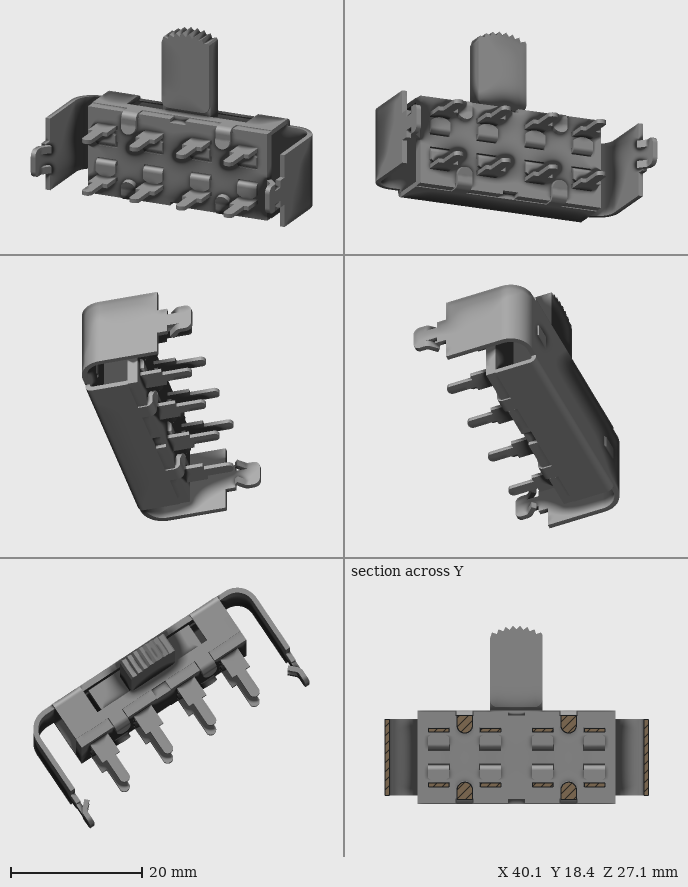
import cadquery as cq
import math


sheet = 0.75
frame_length = 30.1
frame_height = 14.2
frame_depth = 6.65
frame_bend = 1.0
mid_z = frame_height / 2
slot_length = 20.05
slot_front_y = -5.0

ear_span = 40.15
ear_height = 11.6
ear_bend = 3.55
ear_front_y = -12.72
tongue_height = 4.37
tongue_front_y = -18.1
tongue_radius = 1.05

barb_height = 1.12
barb_window_rear_y = -14.25
barb_root_y = -16.35
barb_bend = 1.35
barb_bend_angle = math.radians(45)
barb_arm = 1.45

board_thickness = 1.55
board_inset = 0.12
board_front_y = -(frame_depth + board_thickness)
notch_width = 2.55
notch_depth = 0.72

tab_x = 7.9
tab_width = 2.45
tab_gap_width = 2.7
tab_gap_depth = 0.8
tab_kink_z = 12.3
tab_tip_z = 10.95
tab_kink_bend = 1.0
tab_tilt = math.radians(17)
tab_tip_rounding = 0.499 * tab_width

pin_columns = (3.95, 11.88)
pin_slot_columns = (4.0, 11.8)
pin_z_offset = 4.17
pin_thickness = 0.65
pin_shoulder_width = 3.2
pin_shoulder_y = -11.55
pin_width = 1.6
pin_tip_y = -15.97
pin_tip_diameter = 1.73
pin_slot_width = 3.35
pin_slot_height = 0.75
pin_slot_depth = 0.6
pad_proud = 0.6
pad_sunk = 0.15
pad_near_z = 1.2
pad_far_z = 3.75
pad_side_z = 3.1
pad_gap = 0.25

lever_x = -0.06
slider_length = 18.3
slider_rear_y = -1.32
slider_front_y = -6.25
slider_clearance = 0.1
slider_chamfer = 0.25
lever_width = 8.0
lever_rear_y = -2.2
lever_front_y = -5.35
lever_top = 27.13
lever_left_corner_z = 25.2
lever_right_corner_z = 25.75
panel_relief = 0.5
panel_bottom_z = 14.73
panel_radius = 1.2

tooth_pitch = math.radians(9)
peak_radius = 7.15
valley_radius = 6.6
teeth_per_side = 4

leaf_half_length = 11.25
leaf_height = 3.05
leaf_thickness = 0.3
leaf_end_x = 14.45
leaf_end_height = 2.05
leaf_end_proud = 0.25
leaf_end_ramp = 0.52
leaf_end_bend = 0.7
crest_base = 1.12
crest_top = 0.6


def box(x0, x1, y0, y1, z0, z1):
    """Axis-aligned box between two opposite corners."""
    corner = cq.Vector(min(x0, x1), min(y0, y1), min(z0, z1))
    return cq.Workplane(cq.Solid.makeBox(abs(x1 - x0), abs(y1 - y0), abs(z1 - z0), corner))


def centred_box(x, width, y0, y1, z, height):
    """Box centred on x and z, spanning y0 to y1."""
    return box(x - width / 2, x + width / 2, y0, y1, z - height / 2, z + height / 2)


def mirrored_x(body):
    """The body together with its left-right mirror image."""
    return body.union(body.mirror("YZ"))


def mirrored_z(body):
    """The body together with its mirror image about mid height."""
    return body.union(body.mirror("XY", (0, 0, mid_z)))


def frame_shell():
    """C-shaped channel with a slot in the top wall and two windows in the rear wall."""
    outer = centred_box(0, frame_length, -frame_depth, 0, mid_z, frame_height)
    outer = outer.edges("|X and >Y").fillet(frame_bend)
    inner_height = frame_height - 2 * sheet
    inner = centred_box(0, frame_length, -frame_depth, -sheet, mid_z, inner_height)
    inner = inner.edges("|X and >Y").fillet(frame_bend - sheet)
    slot = box(-slot_length / 2, slot_length / 2, slot_front_y, 0, frame_height - sheet, frame_height)
    window = box(
        leaf_half_length, leaf_half_length + leaf_end_ramp, -sheet, 0,
        mid_z - leaf_end_height / 2, mid_z + leaf_end_height / 2,
    )
    return outer.cut(inner).cut(slot).cut(mirrored_x(window))


def frame_tab():
    """Right-hand upper tab: folded over the board, then kinked outwards to a round tip."""
    face_y = board_front_y - sheet
    flap_length = (tab_kink_z - tab_tip_z) / math.cos(tab_tilt)
    flap_dy = -flap_length * math.sin(tab_tilt)
    thickness_dy = sheet * math.cos(tab_tilt)
    thickness_dz = -sheet * math.sin(tab_tilt)
    inner_kink_z = tab_kink_z - sheet * math.tan(tab_tilt / 2)
    inner_z = frame_height - sheet
    inner_bend = frame_bend - sheet
    profile = (
        cq.Workplane("YZ")
        .moveTo(-frame_depth, frame_height)
        .lineTo(face_y + frame_bend, frame_height)
        .radiusArc((face_y, frame_height - frame_bend), -frame_bend)
        .lineTo(face_y, tab_kink_z)
        .lineTo(face_y + flap_dy, tab_tip_z)
        .lineTo(face_y + flap_dy + thickness_dy, tab_tip_z + thickness_dz)
        .lineTo(board_front_y, inner_kink_z)
        .lineTo(board_front_y, inner_z - inner_bend)
        .radiusArc((board_front_y + inner_bend, inner_z), inner_bend)
        .lineTo(-frame_depth, inner_z)
        .close()
    )
    strip = profile.extrude(tab_width).translate((tab_x - tab_width / 2, 0, 0))
    outer_kink = cq.selectors.NearestToPointSelector((tab_x, face_y, tab_kink_z))
    inner_kink = cq.selectors.NearestToPointSelector((tab_x, board_front_y, inner_kink_z))
    strip = strip.edges(outer_kink).fillet(tab_kink_bend)
    strip = strip.edges(inner_kink).fillet(tab_kink_bend + sheet)
    tip_corners = strip.faces("<Z").edges("not |X")
    return tip_corners.fillet(tab_tip_rounding)


def barb():
    """Strip of the right ear bent inwards at 45 degrees, pointing back to the frame."""
    outer_x = ear_span / 2
    centre_x = outer_x - barb_bend
    inner_bend = barb_bend - sheet
    cos_a, sin_a = math.cos(barb_bend_angle), math.sin(barb_bend_angle)
    cos_half, sin_half = math.cos(barb_bend_angle / 2), math.sin(barb_bend_angle / 2)

    def on_bend(radius, cos_t, sin_t):
        return (centre_x + radius * cos_t, barb_root_y + radius * sin_t)

    def arm_end(radius):
        x, y = on_bend(radius, cos_a, sin_a)
        return (x - barb_arm * sin_a, y + barb_arm * cos_a)

    return (
        cq.Workplane("XY", (0, 0, mid_z + tongue_height / 2 - barb_height))
        .moveTo(outer_x, barb_root_y)
        .threePointArc(on_bend(barb_bend, cos_half, sin_half), on_bend(barb_bend, cos_a, sin_a))
        .lineTo(*arm_end(barb_bend))
        .lineTo(*arm_end(inner_bend))
        .lineTo(*on_bend(inner_bend, cos_a, sin_a))
        .threePointArc(on_bend(inner_bend, cos_half, sin_half), on_bend(inner_bend, 1, 0))
        .close()
        .extrude(barb_height)
    )


def ear():
    """Right-hand ear: bent from the rear wall, with a rounded tongue and two barbs."""
    outer_x = ear_span / 2
    inner_x = outer_x - sheet
    plate = (
        cq.Workplane("XY", (0, 0, mid_z - ear_height / 2))
        .moveTo(frame_length / 2, 0)
        .lineTo(outer_x - ear_bend, 0)
        .radiusArc((outer_x, -ear_bend), ear_bend)
        .lineTo(outer_x, ear_front_y)
        .lineTo(inner_x, ear_front_y)
        .lineTo(inner_x, -ear_bend)
        .radiusArc((outer_x - ear_bend, -sheet), -(ear_bend - sheet))
        .lineTo(frame_length / 2, -sheet)
        .close()
        .extrude(ear_height)
    )
    tongue = box(
        inner_x, outer_x, tongue_front_y, ear_front_y,
        mid_z - tongue_height / 2, mid_z + tongue_height / 2,
    )
    tongue = tongue.edges("|X and <Y").fillet(tongue_radius)
    tongue_top = mid_z + tongue_height / 2
    window = box(inner_x, outer_x, barb_root_y, barb_window_rear_y, tongue_top - barb_height, tongue_top)
    tongue = tongue.cut(mirrored_z(window))
    return plate.union(tongue).union(mirrored_z(barb()))


def board():
    """Insulator board with edge notches for the tabs and a middle notch at top and bottom."""
    body = centred_box(
        0, frame_length, board_front_y, -frame_depth, mid_z, frame_height - 2 * board_inset
    )
    middle = box(
        -notch_width / 2, notch_width / 2, board_front_y, -frame_depth,
        frame_height - notch_depth, frame_height,
    )
    gap = box(
        tab_x - tab_gap_width / 2, tab_x + tab_gap_width / 2, board_front_y, -frame_depth,
        frame_height - tab_gap_depth, frame_height,
    )
    return body.cut(mirrored_z(middle.union(mirrored_x(gap))))


def pin(x):
    """Upper-row terminal pin with a wide shoulder and a rounded tip."""
    z = mid_z + pin_z_offset
    shoulder = centred_box(x, pin_shoulder_width, pin_shoulder_y, -frame_depth, z, pin_thickness)
    shank = centred_box(x, pin_width, pin_tip_y, -frame_depth, z, pin_thickness)
    tip_radius = pin_tip_diameter / 2
    tip_round_y = pin_tip_y + tip_radius
    tip_plane = cq.Workplane("XY", (x, tip_round_y, z - pin_thickness / 2))
    tip = tip_plane.circle(tip_radius).extrude(pin_thickness)
    behind_tip = shank.translate((0, tip_radius, 0))
    return shoulder.union(shank.intersect(tip.union(behind_tip)))


def pin_slot(x):
    """Clearance around a pin and around the rounded end of its contact pad."""
    floor_y = board_front_y + pin_slot_depth
    around = centred_box(
        x, pin_slot_width, board_front_y, floor_y, mid_z + pin_z_offset, pin_slot_height
    )
    half = pin_slot_width / 2
    far_end = box(
        x - half, x + half, board_front_y, floor_y,
        mid_z + pad_near_z - pad_gap, mid_z + pad_near_z + pad_proud + pad_sunk,
    )
    return around.union(far_end)


def contact_pad(x):
    """Raised pad beside an upper-row pin: arched towards the pin, rounded over at the other end."""
    half = pin_shoulder_width / 2
    pad = (
        cq.Workplane("XZ", (x, board_front_y + pin_slot_depth, mid_z))
        .moveTo(-half, pad_near_z)
        .lineTo(-half, pad_side_z)
        .threePointArc((0, pad_far_z), (half, pad_side_z))
        .lineTo(half, pad_near_z)
        .close()
        .extrude(pin_slot_depth + pad_proud)
    )
    return pad.faces("<Y").edges("<Z").fillet(pad_proud + pad_sunk)


def lever_outline():
    """Lever front outline, with the serrated crown between the two side edges."""
    left = lever_x - lever_width / 2
    right = lever_x + lever_width / 2
    half_pitch = tooth_pitch / 2
    centre_z = lever_top - peak_radius * math.cos(half_pitch)
    crown = []
    for step in range(1 - 2 * teeth_per_side, 2 * teeth_per_side):
        angle = step * half_pitch
        radius = peak_radius if step % 2 else valley_radius
        crown.append((radius * math.sin(angle), centre_z + radius * math.cos(angle)))
    base_z = frame_height - sheet - slider_clearance
    return (
        [(left, base_z), (left, lever_left_corner_z)]
        + crown
        + [(right, lever_right_corner_z), (right, base_z)]
    )


def lever():
    """Tall lever whose lower front is set back below a round-cornered panel."""
    body = (
        cq.Workplane("XZ", (0, lever_rear_y, 0))
        .polyline(lever_outline())
        .close()
        .extrude(lever_rear_y - lever_front_y)
    )
    relief_y = lever_front_y + panel_relief
    left = lever_x - lever_width / 2
    right = lever_x + lever_width / 2
    relief_top = panel_bottom_z + panel_radius
    relief = box(left, right, lever_front_y, relief_y, 0, relief_top)
    panel = box(left, right, lever_front_y, relief_y, panel_bottom_z, lever_top)
    panel = panel.edges("|Y and <Z").fillet(panel_radius)
    return body.cut(relief.cut(panel))


def slider():
    """Sliding block inside the frame, chamfered round its bottom except at the rear."""
    height = frame_height - 2 * (sheet + slider_clearance)
    body = centred_box(lever_x, slider_length, slider_front_y, slider_rear_y, mid_z, height)
    return body.faces("<Z").edges("not >Y").chamfer(slider_chamfer)


def leaf_spring():
    """Leaf with a middle crest bearing on the slider and ends passing through the rear wall."""
    front_y = -sheet - leaf_thickness
    leaf = centred_box(0, 2 * leaf_half_length, front_y, -sheet, mid_z, leaf_height)
    crest = (
        cq.Workplane("XY", (0, 0, mid_z - leaf_height / 2))
        .polyline([
            (-crest_base, front_y), (-crest_top, slider_rear_y),
            (crest_top, slider_rear_y), (crest_base, front_y),
        ])
        .close()
        .extrude(leaf_height)
    )
    ramp_x = leaf_half_length + leaf_end_ramp
    end = (
        cq.Workplane("XY", (0, 0, mid_z - leaf_end_height / 2))
        .moveTo(leaf_half_length, front_y)
        .lineTo(leaf_half_length, 0)
        .lineTo(ramp_x, leaf_end_proud)
        .lineTo(leaf_end_x, leaf_end_proud)
        .lineTo(leaf_end_x, 0)
        .lineTo(ramp_x, 0)
        .lineTo(ramp_x, front_y + leaf_end_bend)
        .radiusArc((leaf_half_length, front_y), leaf_end_bend)
        .close()
        .extrude(leaf_end_height)
    )
    return leaf.union(crest).union(mirrored_x(end))


def every_pin(make, columns):
    """Repeat an upper right-hand feature for all eight pins."""
    row = make(columns[0]).union(make(columns[1]))
    return mirrored_z(mirrored_x(row))


frame = frame_shell().union(mirrored_x(ear()))
frame = frame.union(mirrored_z(mirrored_x(frame_tab())))
terminal_board = board().cut(every_pin(pin_slot, pin_slot_columns))
terminal_board = terminal_board.union(every_pin(pin, pin_columns))
terminal_board = terminal_board.union(every_pin(contact_pad, pin_columns))
actuator = slider().union(lever()).union(leaf_spring())
result = frame.union(terminal_board).union(actuator)